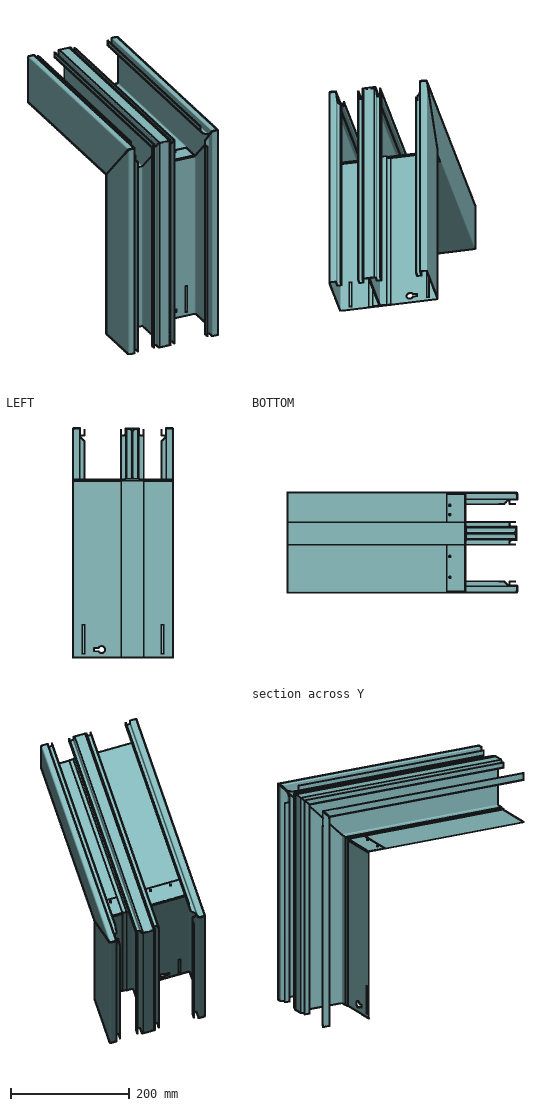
import cadquery as cq


ARM_LENGTH = 389.52
DUCT_WIDTH = 170.0
INNER_ARM = 300.0
SHEET = 1.0

BEND_RADIUS = 3.0
HOOK_BEND_RADIUS = 1.5
FLANGE_WIDTH = 12.5
HOOK_FLOOR_DEPTH = 13.8
HOOK_TIP_DEPTH = 3.8
HOOK_WIDTH = 7.5

DIVIDER_Y = -15.8
WEB_THICKNESS = 2.0
FLANGE_FILLET = 3.0
FOOT_FILLET = 1.5
DIVIDER_TOP_DROP = 1.0
DIVIDER_FLANGE_HALF = 12.0
DIVIDER_BEND_RADIUS = 2.0
DIVIDER_ROOT_RADIUS = 3.0
DIVIDER_FLANGE_THICKNESS = 2.0
FLANGE_LINING_HALF = 9.2
FOOT_FLANGE_HALF = 12.0
FOOT_STRIP_HALF = 19.0
FOOT_STRIP_THICKNESS = 2.0
FOOT_FLANGE_THICKNESS = 1.0

LIP_CLEARANCE_DEPTH = 15.5
LIP_CUT_REACH = 10.0
HOOK_TIP_END = 359.0
SLIT_SHIFT = 0.7
TAB_LENGTH = 30.0
TAB_THICKNESS = 1.0
TAB_HEEL = 2.0
TAB_HOLE_DIAMETER = 2.5
TAB_HOLE_EDGE = 5.0
TAB_HOLE_YS = (58.7, 23.3, -47.6, -63.0)

SLOT_WIDTH = 4.2
SLOT_LENGTH = 49.5
SLOT_DEPTH = 0.5
SLOT_Y = 67.1
SLOT_BOTTOM = 6.5
KEYHOLE_Y = 36.2
KEYHOLE_Z = 13.7
KEYHOLE_DIAMETER = 11.5
KEYHOLE_NECK_WIDTH = 4.8
KEYHOLE_NECK_REACH = 12.5

FLOOR_Z = INNER_ARM + SHEET
HOOK_FLOOR_Z = ARM_LENGTH - HOOK_FLOOR_DEPTH
HOOK_TOP_Z = HOOK_FLOOR_Z + SHEET
HOOK_TIP_Z = ARM_LENGTH - HOOK_TIP_DEPTH
DIVIDER_TOP_Z = ARM_LENGTH - DIVIDER_TOP_DROP
FLANGE_BOTTOM_Z = DIVIDER_TOP_Z - DIVIDER_FLANGE_THICKNESS
FOOT_STRIP_TOP_Z = INNER_ARM + FOOT_STRIP_THICKNESS
FOOT_TOP_Z = FOOT_STRIP_TOP_Z + FOOT_FLANGE_THICKNESS

WALL_Y = DUCT_WIDTH / 2
DROP_Y = WALL_Y - FLANGE_WIDTH
HOOK_FACE_Y = DROP_Y - HOOK_WIDTH + SHEET
DIVIDER_HOOK_FACE = DIVIDER_FLANGE_HALF + HOOK_WIDTH - SHEET


def left_of(heading):
    """Unit vector pointing left of a heading in the profile plane."""
    return cq.Vector(-heading.y, heading.x)


def fold_arc(fold, offset):
    """Start, middle and end of a fold's arc on the face `offset` to the left of the path."""
    corner, radius, before, after = fold
    turns_left = before.cross(after).z > 0
    is_inner_face = turns_left == (offset > 0)
    face_radius = radius - SHEET if is_inner_face else radius
    vertex = corner + (left_of(before) + left_of(after)) * offset
    start = vertex - before * face_radius
    middle = start + (after + (before - after).normalized()) * face_radius
    end = vertex + after * face_radius
    return [(point.x, point.y) for point in (start, middle, end)]


def folded_sheet(points, radii):
    """Sheet folded at right angles, extruded along the level leg.

    `points` are the (y, z) corners of its right-hand face in order; `radii` are the outer
    radii of the folds at the corners between the first and the last.
    """
    corners = [cq.Vector(y, z) for y, z in points]
    headings = [(b - a).normalized() for a, b in zip(corners, corners[1:])]
    folds = list(zip(corners[1:-1], radii, headings, headings[1:]))
    left_start = corners[0] + left_of(headings[0]) * SHEET
    left_end = corners[-1] + left_of(headings[-1]) * SHEET

    outline = cq.Workplane("YZ").moveTo(*points[0])
    for fold in folds:
        start, middle, end = fold_arc(fold, 0)
        outline = outline.lineTo(*start).threePointArc(middle, end)
    outline = outline.lineTo(*points[-1]).lineTo(left_end.x, left_end.y)
    for fold in reversed(folds):
        start, middle, end = fold_arc(fold, SHEET)
        outline = outline.lineTo(*end).threePointArc(middle, start)
    return outline.lineTo(left_start.x, left_start.y).close().extrude(ARM_LENGTH)


def bar(y_min, y_max, z_min, z_max):
    """Rectangular bar running the length of the level leg."""
    corner = cq.Vector(0, y_min, z_min)
    return cq.Workplane(obj=cq.Solid.makeBox(ARM_LENGTH, y_max - y_min, z_max - z_min, corner))


def channel():
    """U-shaped duct sheet with an inward lip and hook on each wall."""
    half = [
        (WALL_Y, INNER_ARM),
        (WALL_Y, ARM_LENGTH),
        (DROP_Y, ARM_LENGTH),
        (DROP_Y, HOOK_TOP_Z),
        (HOOK_FACE_Y, HOOK_TOP_Z),
        (HOOK_FACE_Y, HOOK_TIP_Z),
    ]
    half_radii = [BEND_RADIUS, BEND_RADIUS] + 3 * [HOOK_BEND_RADIUS]
    mirrored = [(-y, z) for y, z in reversed(half)]
    return folded_sheet(mirrored + half, half_radii[::-1] + half_radii)


def divider():
    """Web on a stepped foot, carrying a flange with a hook along each side."""
    half = [
        (DIVIDER_FLANGE_HALF, DIVIDER_TOP_Z),
        (DIVIDER_FLANGE_HALF, HOOK_TOP_Z),
        (DIVIDER_HOOK_FACE, HOOK_TOP_Z),
        (DIVIDER_HOOK_FACE, HOOK_TIP_Z),
    ]
    half_radii = [DIVIDER_BEND_RADIUS, DIVIDER_ROOT_RADIUS, HOOK_BEND_RADIUS]
    points = [(DIVIDER_Y + y, z) for y, z in reversed(half)]
    points += [(DIVIDER_Y - y, z) for y, z in half]
    hat = folded_sheet(points, half_radii[::-1] + half_radii)

    def centred_bar(half_width, z_min, z_max):
        return bar(DIVIDER_Y - half_width, DIVIDER_Y + half_width, z_min, z_max)

    web = centred_bar(WEB_THICKNESS / 2, INNER_ARM, DIVIDER_TOP_Z)
    foot = centred_bar(FOOT_FLANGE_HALF, FOOT_STRIP_TOP_Z, FOOT_TOP_Z)
    flange_lining = centred_bar(
        FLANGE_LINING_HALF, FLANGE_BOTTOM_Z, DIVIDER_TOP_Z - SHEET
    )
    body = hat.union(web).union(foot).union(flange_lining).clean()
    for root_z, radius in ((FOOT_TOP_Z, FOOT_FILLET), (FLANGE_BOTTOM_Z, FLANGE_FILLET)):
        roots = cq.selectors.BoxSelector(
            (0, DIVIDER_Y - WEB_THICKNESS, root_z - SHEET / 2),
            (ARM_LENGTH, DIVIDER_Y + WEB_THICKNESS, root_z + SHEET / 2),
        )
        body = body.edges("|X").edges(roots).fillet(radius)
    strip = centred_bar(FOOT_STRIP_HALF, INNER_ARM, FOOT_STRIP_TOP_Z)
    return body.union(strip).clean()


def plan_prism(points):
    """Prism over (x, y) points, as high as the whole elbow."""
    return cq.Workplane("XY").polyline(points).close().extrude(ARM_LENGTH)


def side_prism(points, y_min, y_max):
    """Prism over (x, z) points, reaching from y_min to y_max."""
    return cq.Workplane("XZ", origin=(0, y_max, 0)).polyline(points).close().extrude(y_max - y_min)


def lip_clearances():
    """45 degree plan cuts that stop the wall hooks short of the corner."""
    x_start = ARM_LENGTH - LIP_CLEARANCE_DEPTH
    for side in (1, -1):
        yield plan_prism(
            [
                (x_start, side * DROP_Y),
                (x_start - LIP_CUT_REACH, side * (DROP_Y - LIP_CUT_REACH)),
                (ARM_LENGTH, side * (DROP_Y - LIP_CUT_REACH)),
                (ARM_LENGTH, side * DROP_Y),
            ]
        )


def hook_tip_clearances():
    """Square cuts that end the upturned tips of the wall hooks before their floors."""
    outline = [
        (HOOK_TIP_END, HOOK_TOP_Z),
        (ARM_LENGTH, HOOK_TOP_Z),
        (ARM_LENGTH, ARM_LENGTH),
        (HOOK_TIP_END, ARM_LENGTH),
    ]
    yield side_prism(outline, HOOK_FACE_Y - SHEET, HOOK_FACE_Y)
    yield side_prism(outline, -HOOK_FACE_Y, SHEET - HOOK_FACE_Y)


def corner_slits():
    """Narrow gaps along the mitre through both walls at the outer corner."""
    start = ARM_LENGTH - LIP_CLEARANCE_DEPTH
    outline = [
        (start, start),
        (ARM_LENGTH, ARM_LENGTH),
        (ARM_LENGTH - SLIT_SHIFT, ARM_LENGTH),
        (start - SLIT_SHIFT, start),
    ]
    yield side_prism(outline, DROP_Y - SHEET, WALL_Y)
    yield side_prism(outline, -WALL_Y, -DROP_Y + SHEET)


def mitred_leg():
    """Level leg with its profile cut off on the mitre plane."""
    leg = channel().union(divider(), clean=False)
    mitre = side_prism(
        [(0, INNER_ARM), (INNER_ARM, INNER_ARM), (ARM_LENGTH, ARM_LENGTH), (0, ARM_LENGTH)],
        -WALL_Y,
        WALL_Y,
    )
    leg = leg.intersect(mitre, clean=False)
    for gap in [*lip_clearances(), *hook_tip_clearances(), *corner_slits()]:
        leg = leg.cut(gap, clean=False)
    return leg


def tab_holes():
    """Rivet holes through the joint tabs and the floor under them."""
    spots = [(INNER_ARM - TAB_LENGTH + TAB_HOLE_EDGE, y) for y in TAB_HOLE_YS]
    return (
        cq.Workplane("XY", origin=(0, 0, INNER_ARM))
        .pushPoints(spots)
        .circle(TAB_HOLE_DIAMETER / 2)
        .extrude(SHEET + TAB_THICKNESS)
    )


def joint_tabs():
    """Tabs of the upright leg, one per compartment, lapping the level leg's floor."""
    top = FLOOR_Z + TAB_THICKNESS
    toe = INNER_ARM - TAB_LENGTH
    heel = FLOOR_Z - TAB_HEEL
    outline = [
        (toe, FLOOR_Z),
        (FLOOR_Z, FLOOR_Z),
        (FLOOR_Z, heel),
        (top, heel),
        (top, top),
        (toe, top),
    ]
    floor_edge = WALL_Y - BEND_RADIUS
    yield side_prism(outline, DIVIDER_Y + FOOT_STRIP_HALF, floor_edge)
    yield side_prism(outline, -floor_edge, DIVIDER_Y - FOOT_STRIP_HALF)


def base_openings():
    """Two shallow slots and a through keyhole for the floor of the upright leg."""
    floor_plane = cq.Workplane("YZ", origin=(INNER_ARM, 0, 0))
    slots = (
        floor_plane.pushPoints([(side * SLOT_Y, SLOT_BOTTOM + SLOT_LENGTH / 2) for side in (1, -1)])
        .rect(SLOT_WIDTH, SLOT_LENGTH)
        .extrude(SLOT_DEPTH)
    )
    keyhole = floor_plane.center(KEYHOLE_Y, KEYHOLE_Z)
    head = keyhole.circle(KEYHOLE_DIAMETER / 2).extrude(SHEET)
    neck = (
        keyhole.center(KEYHOLE_NECK_REACH / 2, 0)
        .rect(KEYHOLE_NECK_REACH, KEYHOLE_NECK_WIDTH)
        .extrude(SHEET)
    )
    return slots.union(head).union(neck)


def level_leg():
    """Leg along X, with rivet holes for the joint tabs."""
    return mitred_leg().cut(tab_holes(), clean=False)


def upright_leg():
    """Leg along Z: the mirrored level leg with base openings and joint tabs."""
    leg = mitred_leg().mirror(cq.Vector(1, 0, -1))
    leg = leg.cut(base_openings(), clean=False)
    for tab in joint_tabs():
        leg = leg.union(tab, clean=False)
    return leg.cut(tab_holes(), clean=False)


level = level_leg()
upright = upright_leg()
result = cq.Compound.makeCompound([*level.solids().vals(), *upright.solids().vals()])